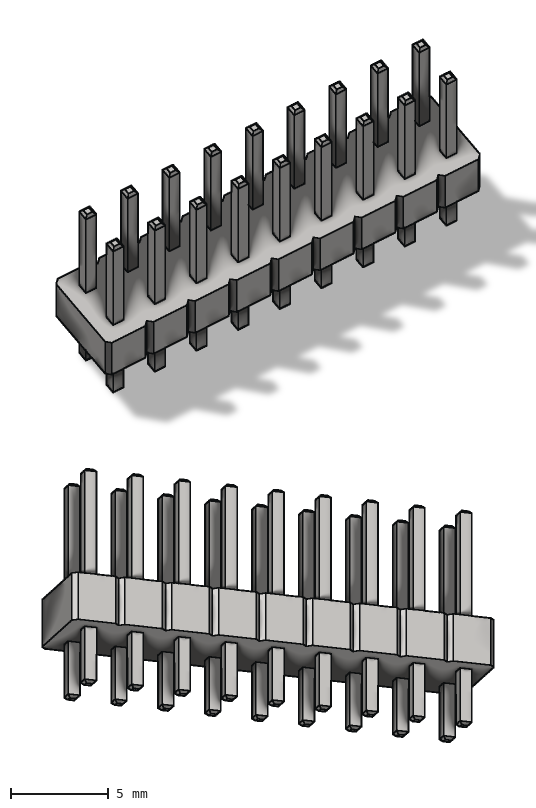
import cadquery as cq

row_length = 22.85
pins_per_row = 9
row_count = 2
pin_width = 0.65
pin_tip_chamfer = 0.15
pin_length = 11.55
pin_drop = 3.0

pitch = row_length / pins_per_row
housing_width = row_count * pitch
housing_height = pitch
corner_chamfer = pitch / 10


def make_cell_row():
    """The whole housing: chamfered cells, one per pair of pins, joined along Y, resting on Z = 0.

    The chamfers of neighbouring cells meet as V-grooves.
    """
    row = cq.Workplane("XY")
    for index in range(pins_per_row):
        cell_y = (index - (pins_per_row - 1) / 2) * pitch
        cell = (
            cq.Workplane("XY")
            .box(housing_width, pitch, housing_height, centered=(True, True, False))
            .edges("|Z")
            .chamfer(corner_chamfer)
            .translate((0, cell_y, 0))
        )
        row = row.union(cell)
    return row.clean()


def make_pin():
    """A square pin on the Z axis, with both tips chamfered."""
    return (
        cq.Workplane("XY")
        .box(pin_width, pin_width, pin_length, centered=(True, True, False))
        .faces("<Z or >Z")
        .chamfer(pin_tip_chamfer)
        .translate((0, 0, -pin_drop))
    )


housing = make_cell_row()
pin = make_pin()
pin_places = cq.Workplane("XY").rarray(pitch, pitch, row_count, pins_per_row)
pins = pin_places.eachpoint(lambda place: pin.val().moved(place))

result = housing.union(pins).clean()